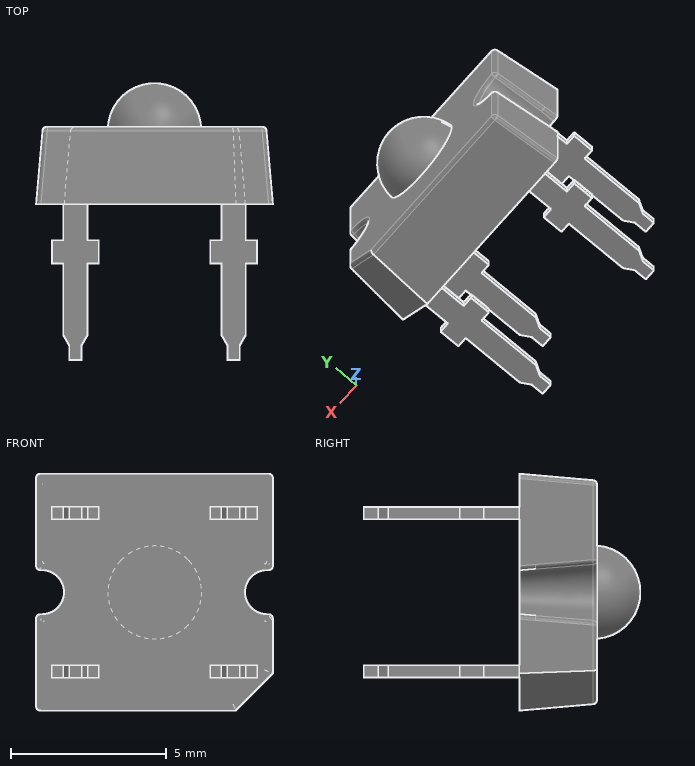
import cadquery as cq
import math

OVERALL_LENGTH = 8.9

BODY_SIZE = 7.62
BODY_DEPTH = 2.5
DRAFT_ANGLE = 5.0
EDGE_RADIUS = 0.15
CORNER_CUT = 1.2

NOTCH_RADIUS = 0.7
NOTCH_DEPTH = 0.9

LENS_RADIUS = 1.5
LENS_HEIGHT = 1.4

LEAD_PITCH = 5.08
LEAD_LENGTH = OVERALL_LENGTH - BODY_DEPTH - LENS_HEIGHT
LEAD_WIDTH = 0.78
LEAD_THICKNESS = 0.4
COLLAR_WIDTH = 1.5
COLLAR_START = 1.15
COLLAR_END = 1.905
NECK_START = 4.2
TIP_START = 4.53
TIP_WIDTH = 0.4


def body_outline():
    """Lead-side outline, with x to the right and z as the second coordinate."""
    half = BODY_SIZE / 2
    notch_centre = half - NOTCH_DEPTH + NOTCH_RADIUS
    notch_bottom = half - NOTCH_DEPTH
    return (
        cq.Workplane("XZ")
        .moveTo(-half, -half)
        .lineTo(half - CORNER_CUT, -half)
        .lineTo(half, CORNER_CUT - half)
        .lineTo(half, -NOTCH_RADIUS)
        .lineTo(notch_centre, -NOTCH_RADIUS)
        .threePointArc((notch_bottom, 0), (notch_centre, NOTCH_RADIUS))
        .lineTo(half, NOTCH_RADIUS)
        .lineTo(half, half)
        .lineTo(-half, half)
        .lineTo(-half, NOTCH_RADIUS)
        .lineTo(-notch_centre, NOTCH_RADIUS)
        .threePointArc((-notch_bottom, 0), (-notch_centre, -NOTCH_RADIUS))
        .lineTo(-half, -NOTCH_RADIUS)
        .close()
    )


def make_body():
    block = body_outline().extrude(-BODY_DEPTH, taper=DRAFT_ANGLE)

    mid_depth = BODY_DEPTH / 2
    mid_shift = mid_depth * math.tan(math.radians(DRAFT_ANGLE))
    side = BODY_SIZE / 2 - mid_shift
    mouth = NOTCH_RADIUS + mid_shift
    corners = [(-side, -side), (-side, side), (side, side)]
    corners += [(x, z) for x in (-side, side) for z in (-mouth, mouth)]

    rounded = block.faces(">Y").edges()
    for x, z in corners:
        nearest = cq.selectors.NearestToPointSelector((x, mid_depth, z))
        rounded = rounded.add(block.edges(nearest))
    return rounded.fillet(EDGE_RADIUS)


def make_lens():
    sphere = cq.Workplane("XY").sphere(LENS_RADIUS)
    return sphere.translate((0, BODY_DEPTH + LENS_HEIGHT - LENS_RADIUS, 0))


def make_lead(x, z):
    """One lead with a stop collar and a narrow tip, centred on (x, z)."""
    right_side = [
        (LEAD_WIDTH / 2, 0),
        (LEAD_WIDTH / 2, -COLLAR_START),
        (COLLAR_WIDTH / 2, -COLLAR_START),
        (COLLAR_WIDTH / 2, -COLLAR_END),
        (LEAD_WIDTH / 2, -COLLAR_END),
        (LEAD_WIDTH / 2, -NECK_START),
        (TIP_WIDTH / 2, -TIP_START),
        (TIP_WIDTH / 2, -LEAD_LENGTH),
    ]
    left_side = [(-px, py) for px, py in reversed(right_side)]
    lead = cq.Workplane("XY").polyline(right_side + left_side).close()
    return lead.extrude(LEAD_THICKNESS / 2, both=True).translate((x, 0, z))


result = make_body().union(make_lens())
for lead_x in (-LEAD_PITCH / 2, LEAD_PITCH / 2):
    for lead_z in (-LEAD_PITCH / 2, LEAD_PITCH / 2):
        result = result.union(make_lead(lead_x, lead_z))